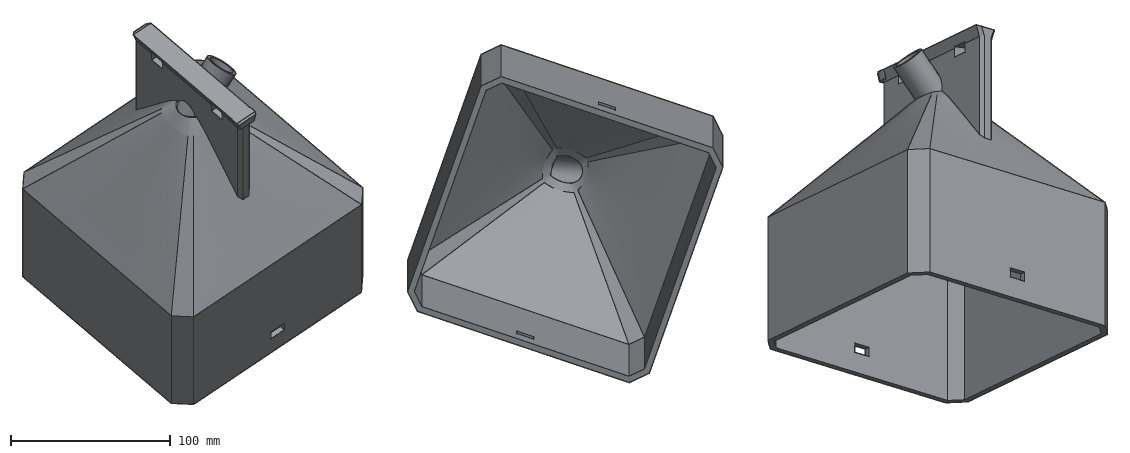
import cadquery as cq
import math

HOUSING_WIDTH = 160.0
HOUSING_HEIGHT = 83.6
CORNER_CUT = 10.0
CORNER_TURN = 45.0
WALL = 3.9

NECK_Z = 156.1
NECK_BULGE = 17.3
NECK_HALF = 15.2
NECK_FLAT = 12.6
CONE_TOP_Z = 163.1

PIPE_DIAMETER = 21.0
BORE_DIAMETER = 17.0
PIPE_TILT = 45.0
PIPE_AXIS_Z = 158.6
MOUTH_Y = 24.1
PIPE_ROOT_Y = -3.7

TOTAL_HEIGHT = 194.5
PLATE_LENGTH = 100.3
PLATE_THICKNESS = 9.7
PLATE_BOTTOM_Z = 97.2
HEAD_THICKNESS = 14.8
HEAD_HEIGHT = 7.4
END_CHAMFER = 2.3
END_TOP_DROP = 1.2

STOP_START_X = 45.0
STOP_END_X = 51.7
STOP_THICKNESS = 15.4
STOP_HEIGHT = 5.8
STOP_FOOT_THICKNESS = 12.5
STOP_RAMP = 1.4
STOP_END_TAPER = 1.5
STOP_END_INSET = 0.8

WINDOW_SPACING = 56.4
WINDOW_WIDTH = 10.1
WINDOW_BOTTOM_Z = 181.2
WINDOW_FRONT_Z = 190.0
WINDOW_BACK_Z = 187.8

SLOT_WIDTH = 11.3
SLOT_HEIGHT = 6.2
SLOT_CENTER_Z = 16.5


def octagon_points(half, flat):
    """Corners of a square outline with cut corners; flat is half the length left on each side."""
    return [
        (-flat, -half), (flat, -half), (half, -flat), (half, flat),
        (flat, half), (-flat, half), (-half, flat), (-half, -flat),
    ]


def housing_points(inset):
    """Housing outline moved inwards by the inset."""
    half = HOUSING_WIDTH / 2
    half_turn = math.radians(CORNER_TURN / 2)
    flat = half - CORNER_CUT - inset * math.tan(half_turn)
    return octagon_points(half - inset, flat)


def bulged_octagon(half, flat, bulge, z):
    """Octagon with arcs for sides: the long ones reach out to bulge, the short ones are round."""
    points = octagon_points(half, flat)
    arcs = []
    for i, start in enumerate(points):
        end = points[(i + 1) % len(points)]
        middle = cq.Vector((start[0] + end[0]) / 2, (start[1] + end[1]) / 2)
        is_long_side = i % 2 == 0
        reach = bulge if is_long_side else math.hypot(half, flat)
        top_of_arc = middle.normalized() * reach + cq.Vector(0, 0, z)
        arcs.append(cq.Edge.makeThreePointArc(cq.Vector(*start, z), top_of_arc, cq.Vector(*end, z)))
    return cq.Wire.assembleEdges(arcs)


def hopper(inset, tip_radius):
    """Housing, roof and cone as one solid; the inset one is the cavity."""
    outline = housing_points(inset)
    box = cq.Workplane("XY").polyline(outline).close().extrude(HOUSING_HEIGHT)

    eaves_corners = [cq.Vector(x, y, HOUSING_HEIGHT) for x, y in outline]
    eaves = cq.Wire.makePolygon(eaves_corners, close=True)
    shrink = 1 - inset / NECK_BULGE
    neck = bulged_octagon(NECK_HALF * shrink, NECK_FLAT * shrink, NECK_BULGE * shrink, NECK_Z)
    corner_angle = math.atan2(NECK_FLAT, NECK_HALF)
    tip = bulged_octagon(
        tip_radius * math.cos(corner_angle),
        tip_radius * math.sin(corner_angle),
        tip_radius,
        CONE_TOP_Z - inset,
    )
    roof = cq.Solid.makeLoft([eaves, neck], True)
    cone = cq.Solid.makeLoft([neck, tip], True)
    return box.union(cq.Workplane(roof)).union(cq.Workplane(cone))


def tilted_cylinder(diameter):
    """Cylinder along the pipe axis, from the buried end to the mouth."""
    tilt = math.radians(PIPE_TILT)
    root = cq.Vector(0, PIPE_ROOT_Y, PIPE_AXIS_Z + PIPE_ROOT_Y * math.tan(tilt))
    axis = cq.Vector(0, math.cos(tilt), math.sin(tilt))
    length = (MOUTH_Y - PIPE_ROOT_Y) / math.cos(tilt)
    return cq.Workplane(cq.Solid.makeCylinder(diameter / 2, length, root, axis))


def profile_wire(x, half_outline):
    """Closed section at x, mirrored in Y from (y, z) points listed from the top down."""
    mirrored = [(-y, z) for y, z in reversed(half_outline)]
    return cq.Wire.makePolygon([cq.Vector(x, y, z) for y, z in half_outline + mirrored], close=True)


def plate_section(x, inset, top_drop):
    return profile_wire(x, [
        (HEAD_THICKNESS / 2 - inset, TOTAL_HEIGHT - top_drop),
        (PLATE_THICKNESS / 2 - inset, TOTAL_HEIGHT - HEAD_HEIGHT),
        (PLATE_THICKNESS / 2 - inset, PLATE_BOTTOM_Z),
    ])


def plate():
    end = PLATE_LENGTH / 2
    sections = [
        plate_section(-end, END_CHAMFER, END_TOP_DROP),
        plate_section(-end + END_CHAMFER, 0, 0),
        plate_section(end - END_CHAMFER, 0, 0),
        plate_section(end, END_CHAMFER, END_TOP_DROP),
    ]
    return cq.Workplane(cq.Solid.makeLoft(sections, True))


def stop_section(x, inset, top_drop):
    return profile_wire(x, [
        (STOP_THICKNESS / 2 - inset, TOTAL_HEIGHT - top_drop),
        (STOP_FOOT_THICKNESS / 2 - inset, TOTAL_HEIGHT - STOP_HEIGHT),
    ])


def end_stop():
    sections = [
        stop_section(STOP_START_X, (STOP_THICKNESS - HEAD_THICKNESS) / 2, 0),
        stop_section(STOP_START_X + STOP_RAMP, 0, 0),
        stop_section(STOP_END_X - STOP_END_TAPER, 0, 0),
        stop_section(STOP_END_X, STOP_END_INSET, STOP_END_INSET),
    ]
    return cq.Workplane(cq.Solid.makeLoft(sections, True))


def windows():
    """Cutters for both windows, with a ceiling that falls towards the back."""
    reach = HEAD_THICKNESS / 2
    cutter = (
        cq.Workplane("YZ")
        .polyline([
            (-reach, WINDOW_BOTTOM_Z), (reach, WINDOW_BOTTOM_Z),
            (reach, WINDOW_BACK_Z), (-reach, WINDOW_FRONT_Z),
        ])
        .close()
        .extrude(WINDOW_WIDTH / 2, both=True)
    )
    offset = WINDOW_SPACING / 2
    return cutter.translate((-offset, 0, 0)).union(cutter.translate((offset, 0, 0)))


def wall_slots():
    return cq.Workplane("XY").box(HOUSING_WIDTH, SLOT_WIDTH, SLOT_HEIGHT).translate((0, 0, SLOT_CENTER_Z))


hanger = plate().union(end_stop()).cut(windows())
body = hopper(0, PIPE_DIAMETER / 2).union(tilted_cylinder(PIPE_DIAMETER)).union(hanger)
cavity = hopper(WALL, BORE_DIAMETER / 2)
result = body.cut(cavity).cut(tilted_cylinder(BORE_DIAMETER)).cut(wall_slots())